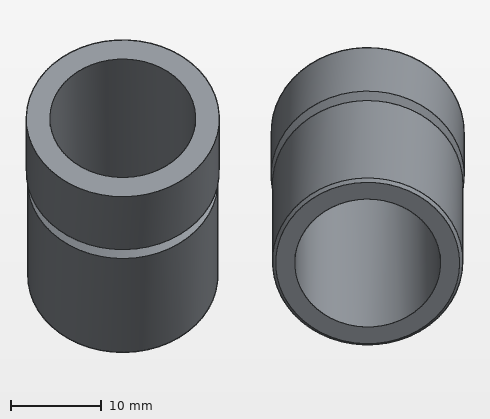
import cadquery as cq
import math

length = 30.0
bore_radius = 8.05
head_radius = 10.65
body_radius = 10.5
head_length = 10.0
end_chamfer = 0.35

groove_floor_radius = 9.15
groove_fillet = 0.35
groove_flank_angle = math.radians(27)

head_bottom = length - head_length
flank_slope = math.tan(groove_flank_angle)

tip_radius = groove_floor_radius - groove_fillet * (1 / math.sin(groove_flank_angle) - 1)
tip_z = head_bottom - (head_radius - tip_radius) * flank_slope
body_top = tip_z - (body_radius - tip_radius) * flank_slope

arc_center_radius = groove_floor_radius + groove_fillet
tangent_radius = arc_center_radius - groove_fillet * math.sin(groove_flank_angle)
tangent_rise = groove_fillet * math.cos(groove_flank_angle)

half_section = (
    cq.Workplane("XZ")
    .moveTo(bore_radius, 0)
    .lineTo(body_radius - end_chamfer, 0)
    .lineTo(body_radius, end_chamfer)
    .lineTo(body_radius, body_top)
    .lineTo(tangent_radius, tip_z - tangent_rise)
    .threePointArc((groove_floor_radius, tip_z), (tangent_radius, tip_z + tangent_rise))
    .lineTo(head_radius, head_bottom)
    .lineTo(head_radius, length)
    .lineTo(bore_radius, length)
    .close()
)

result = half_section.revolve(360, (0, 0, 0), (0, 1, 0))